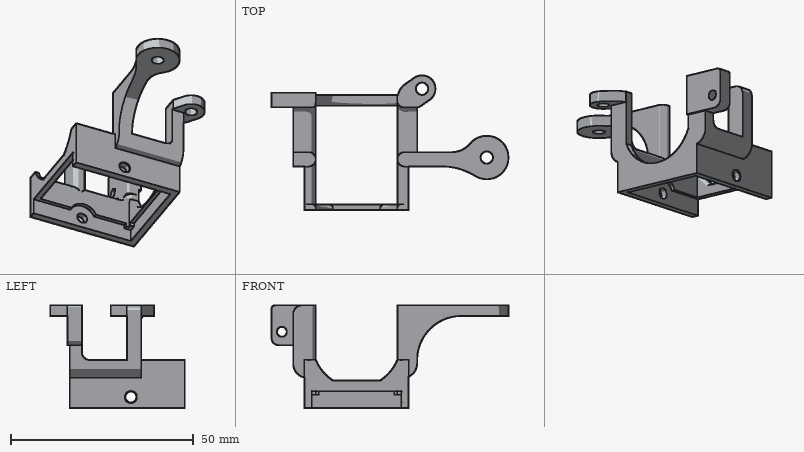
import cadquery as cq
import math


frame_width = 28.5
frame_depth = 31.5
frame_height = 13.2
cavity_width = 22.3
front_wall = 1.6
rear_wall = 3.0
pocket_width = 24.4
pocket_height = 4.65
pocket_step = (pocket_width - cavity_width) / 2
stop_length = 1.95
stop_height = 1.05
total_height = 28.1

arch_radius = 12.0
arch_axis_height = 17.7
arch_fillet = 1.05
front_bar_height = 7.6
front_bar_fillet = 0.5

shoulder_left = -17.35
shoulder_right = 16.6
shoulder_front = 11.9
shoulder_radius = 4.0
shoulder_bottom = 8.2
column_front = 28.1
column_bend = 2.0
left_wall_fillet = 2.5
right_wall_fillet = 1.6

arm_thickness = 3.95
arm_end_radius = arm_thickness / 2
left_arm_corner = 2.5
plate_thickness = 3.0
plate_bottom = total_height - plate_thickness
right_arm_curve = plate_bottom - frame_height

head_x = 35.6
head_y = 14.4
head_radius = 5.95
rear_neck_start = 26.05
front_neck_start = 23.4

lug_x = 17.9
lug_y = 33.2
lug_radius = 3.7
lug_angle = math.radians(35)
lug_heel_radius = 5.0

ear_left = -23.25
ear_thickness = 4.0
ear_bottom = 17.2
ear_top_corner = 1.0
ear_bottom_corner = 2.0
ear_inner_fillet = 1.0

screw_hole = 3.3
side_hole = 3.0
side_hole_mouth = 3.3
ear_hole = 2.65
ear_hole_x = -20.4
ear_hole_z = 20.85
side_hole_y = 14.8
side_hole_z = 3.05
side_recess = 8.0

select_margin = 0.05

half_frame = frame_width / 2
half_cavity = cavity_width / 2
half_pocket = pocket_width / 2
arm_rear = shoulder_front + arm_thickness
cavity_rear = frame_depth - rear_wall


def block(x_range, y_range, z_range):
    """Axis-aligned box between the given limits."""
    sizes = [high - low for low, high in (x_range, y_range, z_range)]
    corner = (x_range[0], y_range[0], z_range[0])
    return cq.Workplane("XY").box(*sizes, centered=False).translate(corner)


def cylinder_y(x, z, radius, y_start, y_end):
    """Cylinder along Y."""
    base = cq.Workplane("XZ", origin=(0, y_start, 0)).center(x, z)
    return base.circle(radius).extrude(y_start - y_end)


def cylinder_x(radius, x_start, x_end):
    """Cylinder along X on the axis of the side holes."""
    base = cq.Workplane("YZ", origin=(x_start, 0, 0)).center(side_hole_y, side_hole_z)
    return base.circle(radius).extrude(x_end - x_start)


def arched_wall(y_start, y_end, inner_face, outward):
    """Cross wall hollowed by the arch, whose edge on the inner face is rounded.

    outward is the Y direction from the inner face into the wall.
    """
    wall = block((-half_frame, half_frame), (y_start, y_end), (0, frame_height))
    wall = wall.cut(cylinder_y(0, arch_axis_height, arch_radius, y_start, y_end))
    inside_radius = arch_radius - arch_fillet
    round_end = inner_face + outward * arch_fillet
    rounding = (
        cq.Workplane("XY")
        .moveTo(inside_radius, inner_face)
        .lineTo(arch_radius + arch_fillet, inner_face)
        .radiusArc((arch_radius, round_end), outward * arch_fillet)
        .lineTo(inside_radius, round_end)
        .close()
        .revolve(360, (0, 0, 0), (0, 1, 0))
        .translate((0, 0, arch_axis_height))
    )
    return wall.cut(rounding)


def front_bar():
    """Flat sill across the bottom of the front arch."""
    bar = block((-half_cavity, half_cavity), (0, front_wall), (pocket_height, front_bar_height))
    return bar.edges(">Y and >Z").fillet(front_bar_fillet)


def side_wall(inner_x, shoulder_x, wall_fillet):
    """Side wall with its shoulder and rear column; the inner upper edge is rounded."""
    outline = (
        cq.Workplane("YZ", origin=(inner_x, 0, 0))
        .moveTo(front_wall, 0)
        .lineTo(frame_depth, 0)
        .lineTo(frame_depth, total_height)
        .lineTo(column_front, total_height)
        .lineTo(column_front, frame_height + column_bend)
        .radiusArc((column_front - column_bend, frame_height), column_bend)
        .lineTo(front_wall, frame_height)
        .close()
    )
    body = outline.extrude(shoulder_x - inner_x)
    inner_edges = cq.selectors.BoxSelector(
        (inner_x - select_margin, front_wall, frame_height - select_margin),
        (inner_x + select_margin, column_front + select_margin, total_height),
    )
    body = body.edges(inner_edges).fillet(wall_fillet)

    wall_x = sorted((inner_x, math.copysign(half_frame, inner_x)))
    shoulder_x_range = sorted((inner_x, shoulder_x))
    wall = block(wall_x, (0, frame_depth), (0, frame_height))
    shoulder = block(shoulder_x_range, (shoulder_front, frame_depth), (shoulder_bottom, total_height))
    outer_low_edge = cq.selectors.NearestToPointSelector((shoulder_x, frame_depth / 2, shoulder_bottom))
    shoulder = shoulder.edges("|Y").edges(outer_low_edge).fillet(shoulder_radius)
    return body.intersect(wall.union(shoulder))


def left_arm():
    """Upright arm on the left shoulder, rounded at its outer top corner."""
    arm = block(
        (shoulder_left, -half_cavity),
        (shoulder_front, arm_rear),
        (shoulder_bottom, total_height),
    )
    arm = arm.edges("<X and >Z").fillet(left_arm_corner)
    arm = arm.edges("<X and <Z").fillet(shoulder_radius)
    plan = (
        cq.Workplane("XY")
        .moveTo(shoulder_left, shoulder_front)
        .lineTo(-half_cavity - arm_end_radius, shoulder_front)
        .radiusArc((-half_cavity - arm_end_radius, arm_rear), -arm_end_radius)
        .lineTo(shoulder_left, arm_rear)
        .close()
        .extrude(total_height)
    )
    return arm.intersect(plan)


def neck_arc(start_x, start_y, side):
    """Concave arc tangent to the arm's straight side and to the head: its radius and its end on the head.

    side is +1 for the rear side of the arm and -1 for the front side.
    """
    run = head_x - start_x
    offset = side * (start_y - head_y)
    radius = (run**2 + offset**2 - head_radius**2) / (2 * (head_radius - offset))
    share = head_radius / (head_radius + radius)
    end = (head_x - share * run, head_y + share * (start_y + side * radius - head_y))
    return radius, end


def right_arm():
    """Arm on the right shoulder that sweeps out into a flat round head."""
    rear_radius, rear_end = neck_arc(rear_neck_start, arm_rear, 1)
    front_radius, front_end = neck_arc(front_neck_start, shoulder_front, -1)
    straight_start = half_cavity + arm_end_radius
    plan = (
        cq.Workplane("XY")
        .moveTo(straight_start, shoulder_front)
        .lineTo(front_neck_start, shoulder_front)
        .radiusArc(front_end, front_radius)
        .threePointArc((head_x + head_radius, head_y), rear_end)
        .radiusArc((rear_neck_start, arm_rear), rear_radius)
        .lineTo(straight_start, arm_rear)
        .radiusArc((straight_start, shoulder_front), -arm_end_radius)
        .close()
        .extrude(total_height)
    )
    side_view = (
        cq.Workplane("XZ")
        .moveTo(half_cavity, shoulder_bottom)
        .lineTo(shoulder_right - shoulder_radius, shoulder_bottom)
        .radiusArc((shoulder_right, shoulder_bottom + shoulder_radius), -shoulder_radius)
        .lineTo(shoulder_right, frame_height)
        .radiusArc((shoulder_right + right_arm_curve, plate_bottom), right_arm_curve)
        .lineTo(head_x + head_radius, plate_bottom)
        .lineTo(head_x + head_radius, total_height)
        .lineTo(half_cavity, total_height)
        .close()
        .extrude(-frame_depth)
    )
    head_hole = cq.Workplane("XY").center(head_x, head_y).circle(screw_hole / 2).extrude(total_height)
    return plan.intersect(side_view).cut(head_hole)


def lug():
    """Slanted lug on top of the right column, with straight sides tangent to its round tip."""
    along = (math.cos(lug_angle), math.sin(lug_angle))
    across = (-lug_radius * along[1], lug_radius * along[0])
    rear_tangent = (lug_x + across[0], lug_y + across[1])
    front_tangent = (lug_x - across[0], lug_y - across[1])
    tip = (lug_x + lug_radius * along[0], lug_y + lug_radius * along[1])
    heel_corner_y = rear_tangent[1] - (rear_tangent[0] - half_cavity) * math.tan(lug_angle)
    heel_tangent = lug_heel_radius * math.tan((math.pi / 2 - lug_angle) / 2)
    heel_end = (half_cavity + heel_tangent * along[0], heel_corner_y + heel_tangent * along[1])
    toe_x = front_tangent[0] - (front_tangent[1] - column_front) / math.tan(lug_angle)
    plate = (
        cq.Workplane("XY", origin=(0, 0, plate_bottom))
        .moveTo(half_cavity + right_wall_fillet, column_front)
        .lineTo(toe_x, column_front)
        .lineTo(*front_tangent)
        .threePointArc(tip, rear_tangent)
        .lineTo(*heel_end)
        .radiusArc((half_cavity, heel_corner_y - heel_tangent), -lug_heel_radius)
        .lineTo(half_cavity, column_front + right_wall_fillet)
        .radiusArc((half_cavity + right_wall_fillet, column_front), -right_wall_fillet)
        .close()
        .extrude(plate_thickness)
    )
    hole = cq.Workplane("XY").center(lug_x, lug_y).circle(screw_hole / 2).extrude(total_height)
    return plate.cut(hole)


def ear():
    """Upright ear on the left column, reaching outward past the shoulder.

    The column below it shares the ear's small inner fillet down to the bend.
    """
    y_range = (column_front, column_front + ear_thickness)
    plate = block((ear_left, -half_cavity), y_range, (ear_bottom, total_height))
    plate = plate.edges("<X and >Z").fillet(ear_top_corner)
    plate = plate.edges("<X and <Z").fillet(ear_bottom_corner)
    plate = plate.edges(">X and <Y").fillet(ear_inner_fillet)
    column = block(
        (shoulder_left, -half_cavity),
        (column_front, frame_depth),
        (frame_height + column_bend, total_height),
    )
    plate = plate.union(column.edges(">X and <Y").fillet(ear_inner_fillet))
    return plate.cut(cylinder_y(ear_hole_x, ear_hole_z, ear_hole / 2, *y_range))


def pocket():
    """Space of the underside pocket, less a small stop under the ledge in each rear corner."""
    rear = cavity_rear + pocket_step
    space = block((-half_pocket, half_pocket), (0, rear), (0, pocket_height))
    cavity = block((-half_cavity, half_cavity), (front_wall, cavity_rear), (0, pocket_height))
    stop_z = (pocket_height - stop_height, pocket_height)
    stop_y = (rear - stop_length, rear)
    left_stop = block((-half_pocket, stop_length - half_pocket), stop_y, stop_z).cut(cavity)
    return space.cut(left_stop).cut(left_stop.mirror("YZ"))


def side_hole_chamfer():
    """Cone that widens the mouth of the side hole on the left outer face."""
    depth = (side_hole_mouth - side_hole) / 2
    mouth = cq.Workplane("YZ", origin=(-half_frame, 0, 0)).center(side_hole_y, side_hole_z)
    return mouth.circle(side_hole_mouth / 2).workplane(offset=depth).circle(side_hole / 2).loft()


result = side_wall(-half_cavity, shoulder_left, left_wall_fillet)
result = result.union(side_wall(half_cavity, shoulder_right, right_wall_fillet))
result = result.union(arched_wall(0, front_wall, front_wall, -1))
result = result.union(arched_wall(cavity_rear, frame_depth, cavity_rear, 1))
result = result.union(front_bar())

for attachment in (left_arm(), right_arm(), lug(), ear()):
    result = result.union(attachment)

result = result.cut(pocket())

result = result.cut(cylinder_x(side_recess / 2, -half_pocket, half_pocket))
result = result.cut(cylinder_x(side_hole / 2, -half_frame, half_frame))
left_chamfer = side_hole_chamfer()
result = result.cut(left_chamfer).cut(left_chamfer.mirror("YZ"))